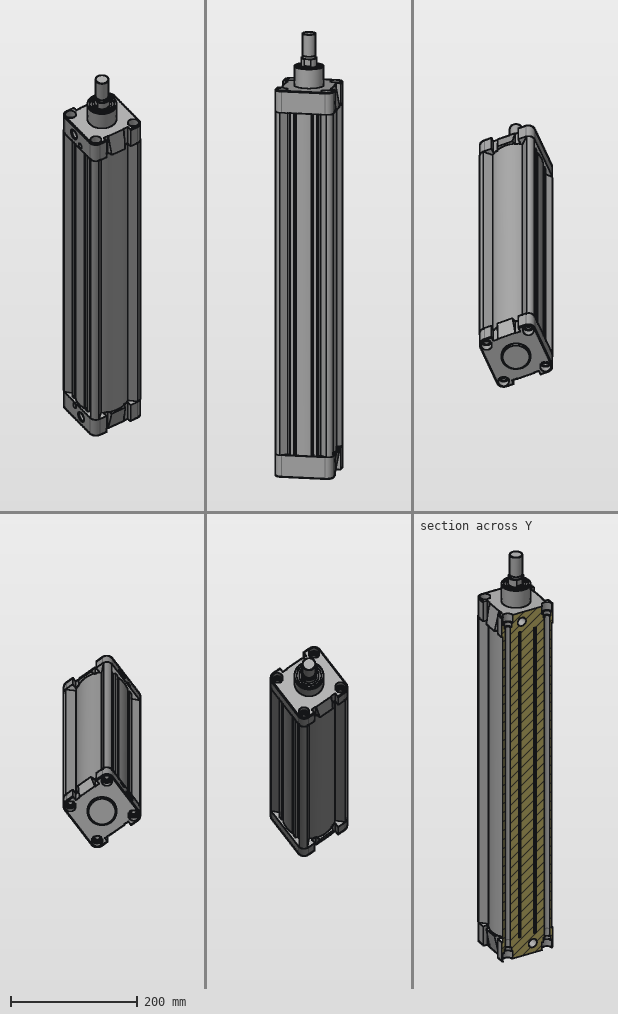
import cadquery as cq
import math


total_height = 718.0
spigot_height = 3.5
head_height = 36.0
upper_head_top = 633.0
boss_top = 665.0
thread_bottom = 678.0
lower_head_top = spigot_height + head_height
upper_head_bottom = upper_head_top - head_height

head_width = 94.0
head_half = head_width / 2
head_corner_radius = 11.5
head_chamfer = 1.5

recess_half_width = 23.0
recess_depth = 8.0
wedge_base_half_width = 15.0
wedge_crest_half_width = 13.0
wedge_thin_end = 1.0

screw_offset = 36.0
screw_hole_diameter = 8.5
socket_diameter = 13.0
socket_depth = 7.0
counterbore_diameter = 17.0
counterbore_depth = 14.5

port_offset = 10.0
port_diameter = 17.0
port_chamfer = 1.5
chamber_diameter = 39.0
chamber_height = 21.5
port_bottom_distance = 14.0
cushion_offset = 8.0
cushion_diameter = 8.5
cushion_depth = 7.0
cushion_rise = 11.0

tube_half = 47.0
post_radius = 9.0
barrel_radius = 44.0
valley_level = 35.0
valley_half_width = 25.0
slot_inner = 12.0
slot_outer = 16.0
slot_floor = 33.0
lip_outer = 21.5
lip_level = 42.5
step_outer = 23.0
slope_foot = 26.5
foot_level = 36.5
step_level = 39.0

boss_diameter = 47.0
spigot_chamfer = 2.0
wiper_diameter = 39.0
wiper_depth = 1.5
wiper_lip_diameter = 31.5
boss_chamfer = 1.0
collar_diameter = 25.0
collar_flat_width = 23.0
collar_flat_bottom = 667.0
thread_diameter = 21.0
undercut_diameter = 20.0
undercut_height = 4.0
thread_chamfer = 1.0


def cylinder(diameter, bottom, top):
    return cq.Workplane("XY").workplane(offset=bottom).circle(diameter / 2).extrude(top - bottom)


def screw_cylinders(diameter, bottom, top):
    """Cylinders at the four tie screw positions."""
    return (
        cq.Workplane("XY")
        .workplane(offset=bottom)
        .rect(2 * screw_offset, 2 * screw_offset, forConstruction=True)
        .vertices()
        .circle(diameter / 2)
        .extrude(top - bottom)
    )


def make_wedge():
    """Wedge on the -X recess floor, thin at the top and full depth at the bottom of a head."""
    floor_x = recess_depth - head_half
    section = (
        cq.Workplane("XY")
        .moveTo(floor_x, -wedge_base_half_width)
        .lineTo(-head_half, -wedge_crest_half_width)
        .lineTo(-head_half, wedge_crest_half_width)
        .lineTo(floor_x, wedge_base_half_width)
        .close()
        .extrude(head_height)
    )
    slope = (
        cq.Workplane("XZ")
        .moveTo(floor_x, 0)
        .lineTo(-head_half, 0)
        .lineTo(floor_x - wedge_thin_end, head_height)
        .lineTo(floor_x, head_height)
        .close()
        .extrude(wedge_base_half_width, both=True)
    )
    return section.intersect(slope)


def front_hole(head, x, z, diameter, depth):
    drill = (
        cq.Workplane("XZ", origin=(x, -head_half, z))
        .circle(diameter / 2)
        .extrude(-depth)
    )
    return head.cut(drill)


def cut_port(head, z):
    """Chamfered port leading into a ring-shaped air chamber around the rod."""
    bore_diameter = port_diameter - 2 * port_chamfer
    head = front_hole(head, -port_offset, z, bore_diameter, head_half - port_bottom_distance)
    mouth = cq.Workplane("XY").add(
        cq.Solid.makeCone(
            port_diameter / 2,
            bore_diameter / 2,
            port_chamfer,
            pnt=cq.Vector(-port_offset, -head_half, z),
            dir=cq.Vector(0, 1, 0),
        )
    )
    chamber_bottom = z - chamber_height / 2
    chamber_top = z + chamber_height / 2
    chamber = cylinder(chamber_diameter, chamber_bottom, chamber_top)
    rod = cylinder(collar_diameter, chamber_bottom, chamber_top)
    return head.cut(mouth).cut(chamber).union(rod)


def make_head():
    """Upper head with its bottom on Z = 0; the lower head is the same part turned over."""
    head = (
        cq.Workplane("XY")
        .rect(head_width, head_width)
        .extrude(head_height)
        .edges("|Z")
        .fillet(head_corner_radius)
        .faces(">Z")
        .edges()
        .chamfer(head_chamfer)
    )
    wedge = make_wedge()
    recess = cq.Workplane("XY").box(
        2 * recess_depth, 2 * recess_half_width, head_height, centered=(True, True, False)
    )
    for side in (-1, 1):
        head = head.cut(recess.translate((side * head_half, 0, 0)))
    head = head.union(wedge).union(wedge.mirror("YZ"))

    socket_floor = head_height - counterbore_depth - socket_depth
    head = head.cut(screw_cylinders(screw_hole_diameter, 0, head_height))
    head = head.cut(screw_cylinders(socket_diameter, socket_floor, head_height))
    head = head.cut(screw_cylinders(counterbore_diameter, head_height - counterbore_depth, head_height))

    port_z = head_height / 2
    head = cut_port(head, port_z)
    return front_hole(head, cushion_offset, port_z - cushion_rise, cushion_diameter, cushion_depth)


def barrel_point(across):
    """Coordinate along the barrel's normal direction at a given distance across it."""
    return math.sqrt(barrel_radius**2 - across**2)


def make_tube():
    """Solid grooved tube: one quarter of its section, mirrored to all four quadrants."""
    post_center = tube_half - post_radius
    post_middle = post_center + post_radius * math.sqrt(0.5)
    barrel_middle = valley_half_width / 2
    quarter = (
        cq.Workplane("XY")
        .workplane(offset=lower_head_top)
        .lineTo(barrel_radius, 0)
        .threePointArc(
            (barrel_point(barrel_middle), barrel_middle),
            (barrel_point(valley_half_width), valley_half_width),
        )
        .lineTo(valley_level, valley_half_width)
        .lineTo(tube_half, post_center)
        .threePointArc((post_middle, post_middle), (post_center, tube_half))
        .lineTo(slope_foot, foot_level)
        .lineTo(slope_foot, step_level)
        .lineTo(step_outer, step_level)
        .lineTo(lip_outer, lip_level)
        .lineTo(slot_outer, lip_level)
        .lineTo(slot_outer, slot_floor)
        .lineTo(slot_inner, slot_floor)
        .lineTo(slot_inner, barrel_point(slot_inner))
        .threePointArc((slot_inner / 2, barrel_point(slot_inner / 2)), (0, barrel_radius))
        .close()
        .extrude(upper_head_bottom - lower_head_top)
    )
    half = quarter.union(quarter.mirror("YZ"))
    tube = half.union(half.mirror("XZ"))
    return tube.cut(screw_cylinders(screw_hole_diameter, lower_head_top, upper_head_bottom))


def make_rod_end():
    """Boss with wiper groove and lip, collar with two wrench flats, undercut and threaded end."""
    wiper_floor = boss_top - wiper_depth
    boss = cylinder(boss_diameter, upper_head_top, boss_top).faces(">Z").chamfer(boss_chamfer)
    boss = boss.cut(cylinder(wiper_diameter, wiper_floor, boss_top))
    boss = boss.union(cylinder(wiper_lip_diameter, wiper_floor, boss_top))
    collar = cylinder(collar_diameter, boss_top, thread_bottom)
    flat_height = thread_bottom - collar_flat_bottom
    for side in (-1, 1):
        flat_cut = cq.Workplane("XY").box(
            collar_diameter, collar_diameter, flat_height, centered=(True, True, False)
        )
        flat_shift = side * (collar_flat_width + collar_diameter) / 2
        collar = collar.cut(flat_cut.translate((0, flat_shift, collar_flat_bottom)))
    undercut_top = thread_bottom + undercut_height
    undercut = cylinder(undercut_diameter, thread_bottom, undercut_top)
    thread = cylinder(thread_diameter, undercut_top, total_height).faces(">Z").chamfer(thread_chamfer)
    return boss.union(collar).union(undercut).union(thread)


head = make_head()
upper_head = head.translate((0, 0, upper_head_bottom))
lower_head = head.rotate((0, 0, 0), (0, 1, 0), 180).translate((0, 0, lower_head_top))
spigot = cylinder(boss_diameter, 0, spigot_height).faces("<Z").chamfer(spigot_chamfer)

result = make_tube().union(upper_head).union(lower_head).union(spigot).union(make_rod_end())